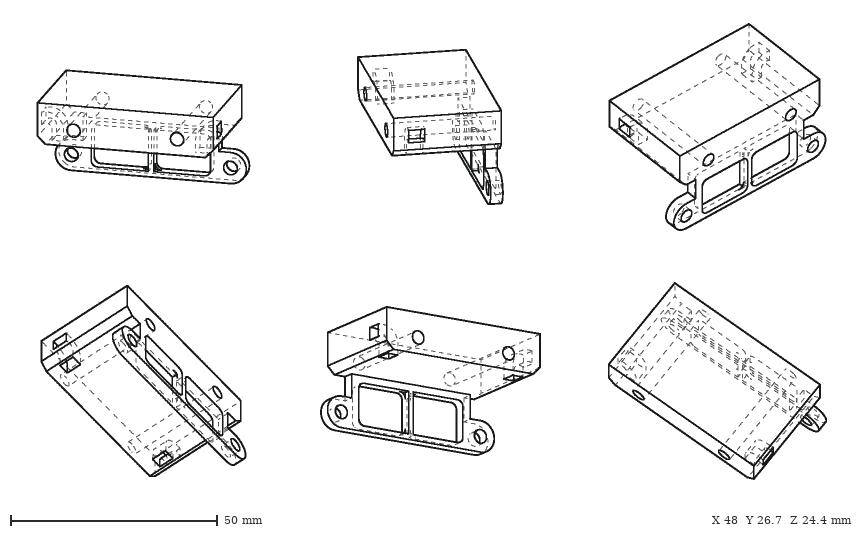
import cadquery as cq

length = 48.0
depth = 26.7
height = 24.45

block_length = 44.15
block_height = 10.4
block_chamfer = 1.95
block_bottom = height - block_height
screw_hole_diameter = 3.3
screw_hole_spacing = 26.0
screw_hole_drop = 6.35

plate_thickness = 3.0
plate_width = 34.2
lug_diameter = 7.95
lug_radius = lug_diameter / 2
lug_spacing = length - lug_diameter
lug_hole_diameter = 3.4

window_width = 29.95
window_height = 10.75
window_bottom = 1.45
window_radius = 1.55
divider_width = 1.4
rounded_depth = plate_thickness / 2

channel_width = 4.05
channel_front = 3.7
channel_inner_radius = 1.55
channel_outer_radius = 4.4
channel_center_inset = 1.1
channel_center_height = block_bottom + 2.75


def box(width, y_start, y_size, z_start, z_size):
    """Box centred on X."""
    return (
        cq.Workplane("XY")
        .box(width, y_size, z_size, centered=(True, False, False))
        .translate((0, y_start, z_start))
    )


def holes(spacing, z, diameter):
    """Pair of cylinders running through the full depth."""
    return (
        cq.Workplane("XZ", origin=(0, 0, z))
        .pushPoints([(-spacing / 2, 0), (spacing / 2, 0)])
        .circle(diameter / 2)
        .extrude(-depth)
    )


def make_block():
    block = box(block_length, 0, depth, block_bottom, block_height)
    block = block.edges("|Y and <Z").chamfer(block_chamfer)
    return block.cut(holes(screw_hole_spacing, height - screw_hole_drop, screw_hole_diameter))


def make_divider_corners():
    """Concave corner fillers joining the divider to the window edges."""
    opening_width = (window_width - divider_width) / 2
    opening_offset = (divider_width + opening_width) / 2
    rear_start = depth - rounded_depth
    corners = box(divider_width + 2 * window_radius, rear_start, rounded_depth, window_bottom, window_height)
    opening = box(opening_width, rear_start, rounded_depth, window_bottom, window_height)
    opening = opening.edges("|Y").fillet(window_radius)
    for side in (-1, 1):
        corners = corners.cut(opening.translate((side * opening_offset, 0, 0)))
    return corners


def make_plate():
    plate_front = depth - plate_thickness
    plate = box(plate_width, plate_front, plate_thickness, 0, block_bottom)
    lugs = (
        cq.Workplane("XZ", origin=(0, plate_front, lug_radius))
        .slot2D(length, lug_diameter)
        .extrude(-plate_thickness)
    )
    window = box(window_width, plate_front, plate_thickness, window_bottom, window_height)
    window = window.edges("|Y").fillet(window_radius)
    divider = box(divider_width, plate_front, plate_thickness, window_bottom, window_height)
    plate = plate.union(lugs).cut(window).union(divider).union(make_divider_corners())
    return plate.cut(holes(lug_spacing, lug_radius, lug_hole_diameter))


def make_left_channel():
    """Bend entering through the left end, then turning straight down."""
    end_x = -block_length / 2
    center_x = end_x + channel_center_inset
    center_z = channel_center_height
    inner_entry_z = center_z + (channel_inner_radius**2 - channel_center_inset**2) ** 0.5
    outer_entry_z = center_z + (channel_outer_radius**2 - channel_center_inset**2) ** 0.5
    return (
        cq.Workplane("XZ", origin=(0, channel_front, 0))
        .moveTo(end_x, inner_entry_z)
        .threePointArc(
            (center_x, center_z + channel_inner_radius),
            (center_x + channel_inner_radius, center_z),
        )
        .lineTo(center_x + channel_inner_radius, block_bottom)
        .lineTo(center_x + channel_outer_radius, block_bottom)
        .lineTo(center_x + channel_outer_radius, center_z)
        .threePointArc((center_x, center_z + channel_outer_radius), (end_x, outer_entry_z))
        .close()
        .extrude(-channel_width)
    )


left_channel = make_left_channel()
block = make_block().cut(left_channel).cut(left_channel.mirror("YZ"))
result = block.union(make_plate())